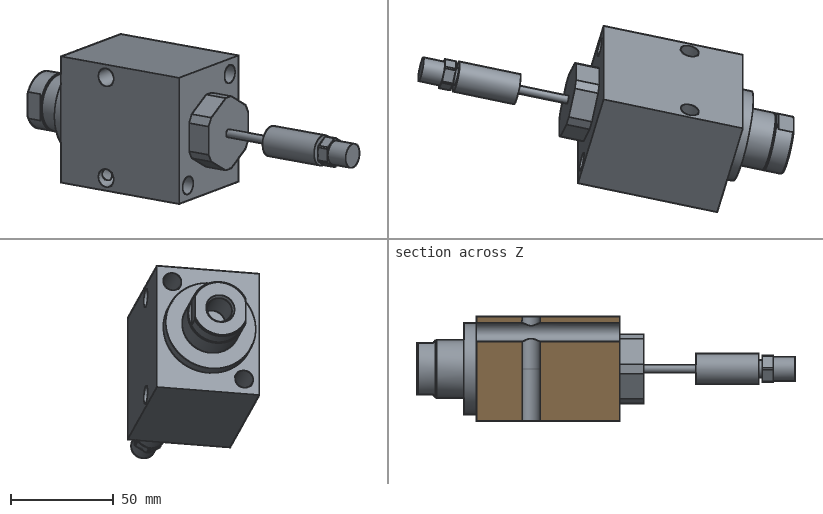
import cadquery as cq
import math

block_start = 28.8
block_length = 69.8
block_width = 50.9
block_height = 63.5
block_end = block_start + block_length

hole_diameter = 9.0
cross_hole_x = 55.5
cross_hole_z = 25.3
long_hole_y = 17.8
long_hole_z = 24.0

flange_start = 22.8
flange_diameter = 44.6
nose_diameter = 28.5
nose_chamfer = 0.5
flat_spacing = 25.2
flat_length = 7.7
groove_start = 9.0
groove_width = 0.7
groove_depth = 0.28
bore_diameter = 12.3
bore_mouth_diameter = 14.1
bore_mouth_depth = 1.7
bore_depth = 18.4

plug_end = 110.2
plug_flats = 33.8
plug_across_corners = 36.4
cable_diameter = 4.0

sleeve_start = 135.5
sleeve_end = 166.0
sleeve_diameter = 15.0
neck_diameter = 8.6
nut_start = 167.7
nut_end = 173.2
nut_flats = 13.0
nut_across_corners = 14.5
tip_end = 183.6
tip_diameter = 12.0


def cylinder_x(start, end, diameter, y=0, z=0):
    """Cylinder along X between two stations."""
    plane = cq.Workplane("YZ", origin=(start, y, z))
    return plane.circle(diameter / 2).extrude(end - start)


def hexagon_x(start, end, across_flats, turn):
    """Hexagon along X; a turn of 30 degrees puts flats on +Y and -Y."""
    across_corners = across_flats / math.cos(math.pi / 6)
    return (
        cq.Workplane("YZ", origin=(start, 0, 0))
        .transformed(rotate=(0, 0, turn))
        .polygon(6, across_corners)
        .extrude(end - start)
    )


def blunt_hexagon_x(start, end, across_flats, across_corners):
    """Hexagon along X whose six corners are cut off flat by a second hexagon."""
    hexagon = hexagon_x(start, end, across_flats, 30)
    return hexagon.intersect(hexagon_x(start, end, across_corners, 0))


def make_block():
    block = cq.Workplane("XY").box(block_length, block_width, block_height)
    block = block.translate((block_start + block_length / 2, 0, 0))
    for side in (1, -1):
        cross_hole = (
            cq.Workplane("XZ", origin=(cross_hole_x, 0, side * cross_hole_z))
            .circle(hole_diameter / 2)
            .extrude(block_width, both=True)
        )
        long_hole = cylinder_x(
            block_start, block_end, hole_diameter, side * long_hole_y, side * long_hole_z
        )
        block = block.cut(cross_hole).cut(long_hole)
    return block


def make_nose():
    nose = cylinder_x(0, flange_start, nose_diameter).faces("<X").chamfer(nose_chamfer)
    groove_end = groove_start + groove_width
    groove = cylinder_x(groove_start, groove_end, nose_diameter).cut(
        cylinder_x(groove_start, groove_end, nose_diameter - 2 * groove_depth)
    )
    nose = nose.cut(groove)

    flat_y = flat_spacing / 2
    outer_y = nose_diameter / 2
    for side in (1, -1):
        flat = (
            cq.Workplane("XY", origin=(0, 0, -outer_y))
            .moveTo(0, side * flat_y)
            .lineTo(flat_length, side * flat_y)
            .lineTo(flat_length + outer_y - flat_y, side * outer_y)
            .lineTo(0, side * outer_y)
            .close()
            .extrude(nose_diameter)
        )
        nose = nose.cut(flat)

    bore = cylinder_x(0, bore_depth, bore_diameter)
    mouth = (
        cq.Workplane("XY")
        .lineTo(0, bore_mouth_diameter / 2)
        .lineTo(bore_mouth_depth, bore_diameter / 2)
        .lineTo(bore_mouth_depth, 0)
        .close()
        .revolve(360, (0, 0, 0), (1, 0, 0))
    )
    return nose.cut(bore).cut(mouth)


def make_connector():
    connector = cylinder_x(plug_end, sleeve_start, cable_diameter)
    connector = connector.union(cylinder_x(sleeve_start, sleeve_end, sleeve_diameter))
    connector = connector.union(cylinder_x(sleeve_end, nut_start, neck_diameter))
    connector = connector.union(blunt_hexagon_x(nut_start, nut_end, nut_flats, nut_across_corners))
    return connector.union(cylinder_x(nut_end, tip_end, tip_diameter))


flange = cylinder_x(flange_start, block_start, flange_diameter)
plug = blunt_hexagon_x(block_end, plug_end, plug_flats, plug_across_corners)

result = make_block().union(flange).union(make_nose()).union(plug).union(make_connector())